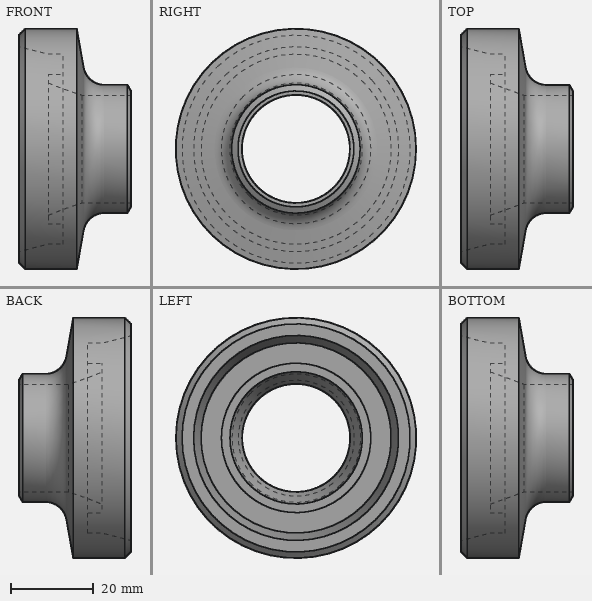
import cadquery as cq
import math

flange_radius = 58 / 2
flange_rim_length = 14.0
flange_chamfer = 1.5
back_slope = math.radians(10)

overall_length = 27.0
hub_radius = 31.0 / 2
hub_chamfer_depth = 1.5
hub_chamfer_length = hub_chamfer_depth * math.tan(math.radians(30))
root_fillet = 5.0

recess_mouth_radius = 49.4 / 2
groove_outer_radius = 45.8 / 2
groove_inner_radius = 36.0 / 2
recess_depth = 7.0
groove_floor = 10.6

bore_radius = 26.0 / 2
entry_radius = 31.9 / 2
entry_end = 15.15

fillet_start_radius = hub_radius + root_fillet * (1 - math.sin(back_slope))
fillet_start = flange_rim_length + (flange_radius - fillet_start_radius) * math.tan(back_slope)
fillet_end = fillet_start + root_fillet * math.cos(back_slope)
fillet_mid_angle = (back_slope + math.pi / 2) / 2
fillet_mid = (
    fillet_end - root_fillet * math.cos(fillet_mid_angle),
    hub_radius + root_fillet * (1 - math.sin(fillet_mid_angle)),
)

section = (
    cq.Workplane("XY")
    .moveTo(0, recess_mouth_radius)
    .lineTo(0, flange_radius - flange_chamfer)
    .lineTo(flange_chamfer, flange_radius)
    .lineTo(flange_rim_length, flange_radius)
    .lineTo(fillet_start, fillet_start_radius)
    .threePointArc(fillet_mid, (fillet_end, hub_radius))
    .lineTo(overall_length - hub_chamfer_length, hub_radius)
    .lineTo(overall_length, hub_radius - hub_chamfer_depth)
    .lineTo(overall_length, bore_radius)
    .lineTo(entry_end, bore_radius)
    .lineTo(recess_depth, entry_radius)
    .lineTo(recess_depth, groove_inner_radius)
    .lineTo(groove_floor, groove_inner_radius)
    .lineTo(groove_floor, groove_outer_radius)
    .lineTo(recess_depth, groove_outer_radius)
    .close()
)

result = section.revolve(360, (0, 0, 0), (1, 0, 0))